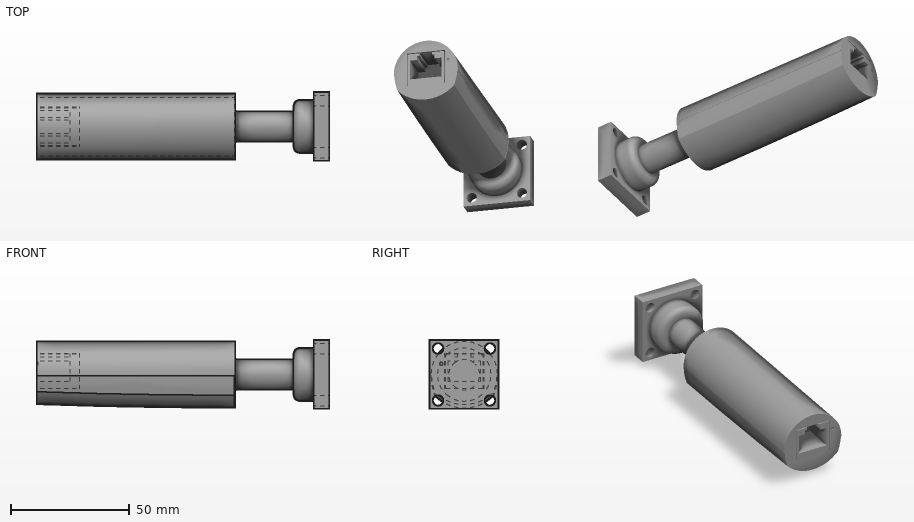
import cadquery as cq
import math


total_length = 123.8
grip_length = 84.0
flange_thickness = 6.7
flange_front = total_length - flange_thickness

grip_radius = 14.0
grip_axis_z = 0.1
band_bottom = -0.5
belly_depth = 14.1
belly_side_radius = 26.5
belly_corner_y = 12.5
belly_inset = 0.1
belly_front_rise = 1.5
belly_rim_length = 0.4
swing_overrun = 0.1

neck_diameter = 13.0
neck_root_fillet = 0.4
collar_diameter = 22.5
collar_length = 8.5
collar_fillet = 2.75
flange_side = 29.2
mount_hole_diameter = 4.4
mount_hole_spacing = 21.9

jack_width = 15.9
jack_bottom = -5.75
jack_top = 8.7
jack_depth = 18.0
jack_clearance = 0.37

opening_depth = 14.0
bay_half_width = 6.84
bay_bottom = -2.77
bay_top = 5.73
step_half_width = 3.88
step_top = 7.58
latch_half_width = 2.77

indicator_y = -9.7
indicator_z = 4.6
indicator_diameter = 1.5
indicator_depth = 0.3
indicator_bore_diameter = 1.1
indicator_bore_depth = 0.6


def section(x):
    """Sketch plane across the long axis: local x is +Y, local y is +Z, normal is +X."""
    return cq.Workplane("YZ", origin=(x, 0, 0))


def block(x_range, z_range, width):
    """Box centred on y = 0."""
    length = x_range[1] - x_range[0]
    height = z_range[1] - z_range[0]
    return cq.Workplane("XY").box(length, width, height, centered=(False, True, False)).translate(
        (x_range[0], 0, z_range[0]))


def belly_outline(x, inset):
    """Belly section: bowed sides tangent to the vertical at z = 0, closed by a shallow bottom arc."""
    headroom = 2 * belly_front_rise
    side_y = grip_radius - inset
    corner_y = belly_corner_y - inset
    middle_y = side_y - (side_y - corner_y) / 4

    def side_z(y):
        return -math.sqrt(belly_side_radius**2 - (belly_side_radius - side_y + y)**2)

    return (
        section(x)
        .moveTo(side_y, headroom)
        .lineTo(side_y, 0)
        .threePointArc((middle_y, side_z(middle_y)), (corner_y, side_z(corner_y)))
        .threePointArc((0, -belly_depth), (-corner_y, side_z(corner_y)))
        .threePointArc((-middle_y, side_z(middle_y)), (-side_y, 0))
        .lineTo(-side_y, headroom)
        .close()
    )


def make_belly():
    """Inset belly swung along a very large arc that levels out at a short full-width rim at the rear."""
    arc_end = grip_length - belly_rim_length
    swing_radius = (arc_end**2 + belly_front_rise**2) / (2 * belly_front_rise)
    swing_angle = math.degrees(math.asin(arc_end / swing_radius)) + swing_overrun
    swung = belly_outline(arc_end, belly_inset).revolve(
        swing_angle, (0, swing_radius, 0), (1, swing_radius, 0))
    rim = belly_outline(arc_end, 0).extrude(belly_rim_length)
    keep = block((0, grip_length), (-2 * belly_depth, band_bottom), 2 * grip_radius)
    return swung.intersect(keep).union(rim.intersect(keep))


def make_grip():
    crown = block((0, grip_length), (grip_axis_z, grip_axis_z + grip_radius), 2 * grip_radius)
    round_top = section(0).center(0, grip_axis_z).circle(grip_radius).extrude(grip_length).intersect(crown)
    band = block((0, grip_length), (band_bottom, grip_axis_z), 2 * grip_radius)
    return round_top.union(band).union(make_belly())


def make_stem():
    """Flared neck, collar with a rounded front edge, and the square flange with its holes."""
    neck_radius = neck_diameter / 2
    collar_radius = collar_diameter / 2
    collar_front = flange_front - collar_length
    flare_radius = neck_radius + neck_root_fillet
    flare_end = grip_length + neck_root_fillet
    flare_offset = neck_root_fillet * (1 - math.sqrt(0.5))
    neck = (
        cq.Workplane("XY")
        .moveTo(grip_length, 0)
        .lineTo(grip_length, flare_radius)
        .threePointArc((grip_length + flare_offset, neck_radius + flare_offset), (flare_end, neck_radius))
        .lineTo(collar_front, neck_radius)
        .lineTo(collar_front, 0)
        .close()
        .revolve(360, (0, 0, 0), (1, 0, 0))
    )
    collar = section(collar_front).circle(collar_radius).extrude(collar_length).faces("<X").edges().fillet(
        collar_fillet)
    flange = (
        section(flange_front)
        .rect(flange_side, flange_side)
        .extrude(flange_thickness)
        .faces("<X")
        .workplane()
        .rect(mount_hole_spacing, mount_hole_spacing, forConstruction=True)
        .vertices()
        .hole(mount_hole_diameter)
    )
    return neck.union(collar).union(flange)


def make_housing():
    pocket = block(
        (0, jack_depth),
        (jack_bottom, jack_top + jack_clearance),
        jack_width + 2 * jack_clearance,
    )
    indicator = section(0).center(indicator_y, indicator_z)
    recess = indicator.circle(indicator_diameter / 2).extrude(indicator_depth)
    bore = indicator.circle(indicator_bore_diameter / 2).extrude(indicator_bore_depth)
    return make_grip().union(make_stem()).cut(pocket).cut(recess).cut(bore)


def make_jack():
    """Jack body with a plug opening whose latch slot runs out through the top."""
    body = block((0, jack_depth), (jack_bottom, jack_top), jack_width)
    bay = block((0, opening_depth), (bay_bottom, bay_top), 2 * bay_half_width)
    step = block((0, opening_depth), (bay_top, step_top), 2 * step_half_width)
    latch = block((0, opening_depth), (step_top, jack_top), 2 * latch_half_width)
    return body.cut(bay).cut(step).cut(latch)


housing = make_housing()
jack = make_jack()

result = cq.Compound.makeCompound([housing.val(), jack.val()])